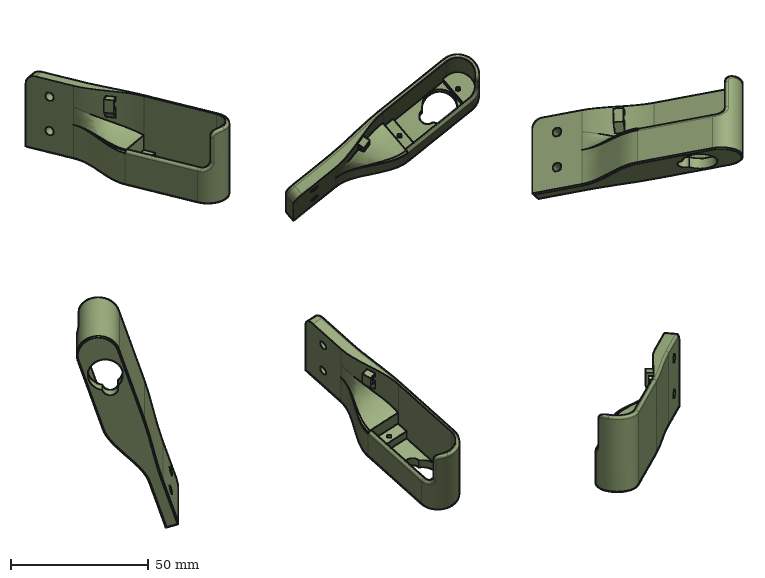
import cadquery as cq
import math

LENGTH = 84.2
WIDTH = 15.8
HEIGHT = 30.0
HALF_WIDTH = WIDTH / 2
WALL = 1.5
INNER_HALF = HALF_WIDTH - WALL

PLATE_END = 19.9
HOUSING_START = 46.3
NOSE_START = LENGTH - HALF_WIDTH

PLATE_FRONT = 1.4
PLATE_BACK = 6.6
PLATE_CORNER_RADIUS = 4.0
SCREW_DIAMETER = 3.4
SCREW_X = PLATE_END / 2
SCREW_HEIGHTS = (9.1, 23.1)

LOW_RIM = 14.05
RIM_FILLET = 1.0
BOTTOM_CHAMFER = 0.5
OPENING_END = 80.05
OPENING_RADIUS = 2.95
WEDGE_TOP = 21.5

FLOOR = 4.0
PEDESTAL_TOP = 8.0
PEDESTAL_INNER_ENDS = (51.1, 74.5)
PILOT_DIAMETER = 1.6
PILOT_POSITIONS = (48.8, 76.4)
KEYHOLE_X = 67.75
KEYHOLE_DIAMETER = 2 * INNER_HALF
KEY_SLOT_X = 62.0
KEY_SLOT_DIAMETER = 6.0

LOOP_X = 32.1
LOOP_Y = 3.6
LOOP_ANGLE = 14.0
LOOP_WIDTH = 3.7
LOOP_DEPTH = 2.9
LOOP_TOP = 27.9
LOOP_FRONT_BOTTOM = 22.5
LOOP_WALL_BOTTOM = 19.3
LOOP_HOLE_BOTTOM = 23.6
LOOP_HOLE_TOP = 26.4
LOOP_HOLE_DEPTH = 1.7
LOOP_ROOT = 0.8


def s_curve(start, end):
    """Four Bezier points whose curve leaves and arrives parallel to X."""
    (x1, y1), (x2, y2) = start, end
    third = (x2 - x1) / 3
    return [(x1, y1), (x1 + third, y1), (x2 - third, y2), (x2, y2)]


FRONT_CURVE = s_curve((PLATE_END, PLATE_FRONT), (HOUSING_START, -HALF_WIDTH))
BACK_CURVE = s_curve((PLATE_END, PLATE_BACK), (HOUSING_START, HALF_WIDTH))
WEB_CURVE = s_curve((PLATE_END, PLATE_FRONT), (HOUSING_START, INNER_HALF))


def box(x1, x2, y1, y2, z1, z2):
    return cq.Workplane("XY").box(x2 - x1, y2 - y1, z2 - z1, centered=False).translate((x1, y1, z1))


def cylinder(x, diameter, z1, z2):
    return cq.Workplane("XY", origin=(x, 0, z1)).circle(diameter / 2).extrude(z2 - z1)


def outer_body():
    """Full-height block with the plan outline of plate, transition and housing."""
    body = (
        cq.Workplane("XY")
        .moveTo(0, PLATE_FRONT)
        .lineTo(PLATE_END, PLATE_FRONT)
        .bezier(FRONT_CURVE)
        .lineTo(NOSE_START, -HALF_WIDTH)
        .threePointArc((LENGTH, 0), (NOSE_START, HALF_WIDTH))
        .lineTo(HOUSING_START, HALF_WIDTH)
        .bezier(BACK_CURVE[::-1])
        .lineTo(0, PLATE_BACK)
        .close()
        .extrude(HEIGHT)
    )
    body = body.faces("<Z").chamfer(BOTTOM_CHAMFER)
    return body.faces("<X").edges(">Z").fillet(PLATE_CORNER_RADIUS)


def cavity():
    """Space inside the housing walls, open at the top."""
    return (
        cq.Workplane("XY", origin=(0, 0, FLOOR))
        .moveTo(HOUSING_START, -INNER_HALF)
        .lineTo(NOSE_START, -INNER_HALF)
        .threePointArc((NOSE_START + INNER_HALF, 0), (NOSE_START, INNER_HALF))
        .lineTo(HOUSING_START, INNER_HALF)
        .close()
        .extrude(HEIGHT)
    )


def transition_space():
    """Open space in front of the transition wall, above the low rim."""
    return (
        cq.Workplane("XY", origin=(0, 0, LOW_RIM))
        .moveTo(PLATE_END, PLATE_FRONT)
        .bezier(WEB_CURVE)
        .lineTo(HOUSING_START, -WIDTH)
        .lineTo(PLATE_END, -WIDTH)
        .close()
        .extrude(HEIGHT)
    )


def front_opening():
    """Cutter that lowers the front wall, with rounded steps at the nose."""
    r = OPENING_RADIUS
    diagonal = r * math.sqrt(0.5)
    low_x, low_z = OPENING_END - r, LOW_RIM + r
    top_x, top_z = OPENING_END + r, HEIGHT - r
    return (
        cq.Workplane("XZ")
        .moveTo(HOUSING_START, LOW_RIM)
        .lineTo(low_x, LOW_RIM)
        .threePointArc((low_x + diagonal, low_z - diagonal), (OPENING_END, low_z))
        .lineTo(OPENING_END, top_z)
        .threePointArc((top_x - diagonal, top_z + diagonal), (top_x, HEIGHT))
        .lineTo(HOUSING_START, HEIGHT)
        .close()
        .extrude(WIDTH)
    )


def sloped_curve(plan_curve, start_height, end_height):
    """Bezier edge that follows a plan curve while its height changes evenly."""
    step = (end_height - start_height) / 3
    return cq.Edge.makeBezier(
        [cq.Vector(x, y, start_height + step * i) for i, (x, y) in enumerate(plan_curve)]
    )


def three_sided_solid(first, second, third, end_points=None):
    """Solid between three curves, with a flat triangular end where they do not meet."""
    pairs = ((first, second), (second, third), (third, first))
    faces = [cq.Face.makeRuledSurface(start, end) for start, end in pairs]
    if end_points:
        outline = cq.Wire.makePolygon([cq.Vector(*point) for point in end_points], close=True)
        faces.append(cq.Face.makeFromWires(outline))
    solid = cq.Solid.makeSolid(cq.Shell.makeShell(faces))
    return cq.Workplane(solid.fix())


def wedge():
    """Twisted slope that falls from the transition wall to the low front rim."""
    ridge = sloped_curve(WEB_CURVE, WEDGE_TOP, LOW_RIM)
    wall_foot = sloped_curve(WEB_CURVE, LOW_RIM, LOW_RIM)
    front_foot = sloped_curve(FRONT_CURVE, LOW_RIM, LOW_RIM)
    return three_sided_solid(ridge, wall_foot, front_foot)


def fading_bevel():
    """Cutter for the front transition rim, growing from nothing to the size of the rim fillet."""
    inner_y = RIM_FILLET - HALF_WIDTH
    bevel_foot = LOW_RIM - RIM_FILLET
    inner_plan = s_curve((PLATE_END, PLATE_FRONT), (HOUSING_START, inner_y))
    return three_sided_solid(
        sloped_curve(FRONT_CURVE, LOW_RIM, LOW_RIM),
        sloped_curve(FRONT_CURVE, LOW_RIM, bevel_foot),
        sloped_curve(inner_plan, LOW_RIM, LOW_RIM),
        [
            (HOUSING_START, -HALF_WIDTH, LOW_RIM),
            (HOUSING_START, -HALF_WIDTH, bevel_foot),
            (HOUSING_START, inner_y, LOW_RIM),
        ],
    )


def tie_loop():
    """Strap loop standing on the transition wall with a sloped underside."""
    plane = cq.Plane(origin=(0, 0, 0), xDir=(0, 1, 0), normal=(1, 0, 0))
    loop = (
        cq.Workplane(plane)
        .polyline([
            (LOOP_ROOT, LOOP_TOP),
            (-LOOP_DEPTH, LOOP_TOP),
            (-LOOP_DEPTH, LOOP_FRONT_BOTTOM),
            (0, LOOP_WALL_BOTTOM),
            (LOOP_ROOT, LOOP_WALL_BOTTOM),
        ])
        .close()
        .extrude(LOOP_WIDTH)
    )
    hole = box(0, LOOP_WIDTH, -LOOP_HOLE_DEPTH, LOOP_ROOT, LOOP_HOLE_BOTTOM, LOOP_HOLE_TOP)
    loop = loop.cut(hole)
    return loop.rotate((0, 0, 0), (0, 0, 1), LOOP_ANGLE).translate((LOOP_X, LOOP_Y, 0))


def floor_features(body):
    """Pedestals with pilot holes and the keyhole through the floor."""
    left_end, right_start = PEDESTAL_INNER_ENDS
    room = cavity()
    for x1, x2 in ((HOUSING_START, left_end), (right_start, LENGTH)):
        pedestal = box(x1, x2, -HALF_WIDTH, HALF_WIDTH, FLOOR, PEDESTAL_TOP)
        body = body.union(pedestal.intersect(room))
    for x in PILOT_POSITIONS:
        body = body.cut(cylinder(x, PILOT_DIAMETER, FLOOR, HEIGHT))
    half_slot = KEY_SLOT_DIAMETER / 2
    body = body.cut(cylinder(KEYHOLE_X, KEYHOLE_DIAMETER, 0, FLOOR))
    body = body.cut(cylinder(KEY_SLOT_X, KEY_SLOT_DIAMETER, 0, FLOOR))
    return body.cut(box(KEY_SLOT_X, KEYHOLE_X, -half_slot, half_slot, 0, FLOOR))


def plate_and_transition(stock):
    """Left part; rounding the first back edge carries on along the tangent back rim."""
    part = stock.intersect(box(0, HOUSING_START, -WIDTH, WIDTH, 0, HEIGHT))
    part = part.faces("<X").edges(">Y").fillet(RIM_FILLET)
    part = part.cut(transition_space()).union(wedge()).cut(fading_bevel())
    for height in SCREW_HEIGHTS:
        hole = cq.Workplane("XZ", origin=(SCREW_X, 0, height)).circle(SCREW_DIAMETER / 2)
        part = part.cut(hole.extrude(-WIDTH))
    return part.union(tie_loop())


def housing(stock):
    """Right part; rounding the straight back rim carries on around the nose to the front."""
    part = stock.intersect(box(HOUSING_START, LENGTH, -WIDTH, WIDTH, 0, HEIGHT))
    part = part.cut(front_opening())
    part = part.faces(">Z").edges("|X and >Y").fillet(RIM_FILLET)
    return floor_features(part.cut(cavity()))


stock = outer_body()
result = plate_and_transition(stock).union(housing(stock))